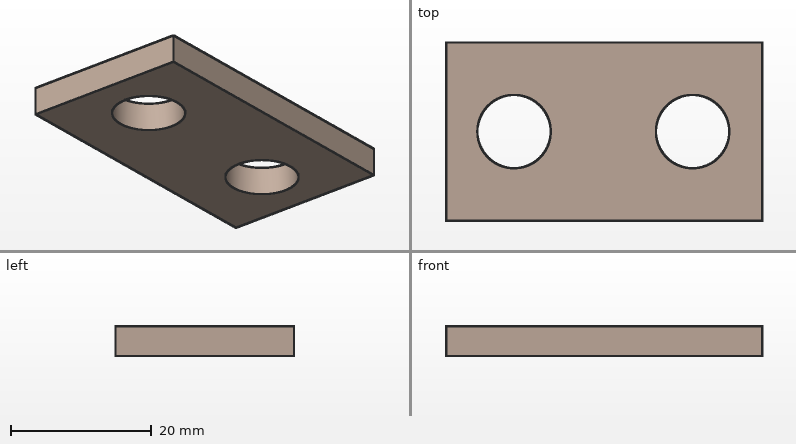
import cadquery as cq

plate_length = 44.96
plate_width = 25.4
plate_thickness = 4.25
hole_diameter = 10.41
hole_spacing = 25.4
hole_pair_offset = -0.13


def make_plate():
    """Flat rectangular plate centred on the origin."""
    return cq.Workplane("XY").box(plate_length, plate_width, plate_thickness)


def drill_holes(plate):
    """Cut the two through holes on the long centreline of the plate."""
    hole_centres = [(hole_pair_offset + side * hole_spacing / 2, 0) for side in (-1, 1)]
    return plate.faces(">Z").workplane().pushPoints(hole_centres).hole(hole_diameter)


result = drill_holes(make_plate())